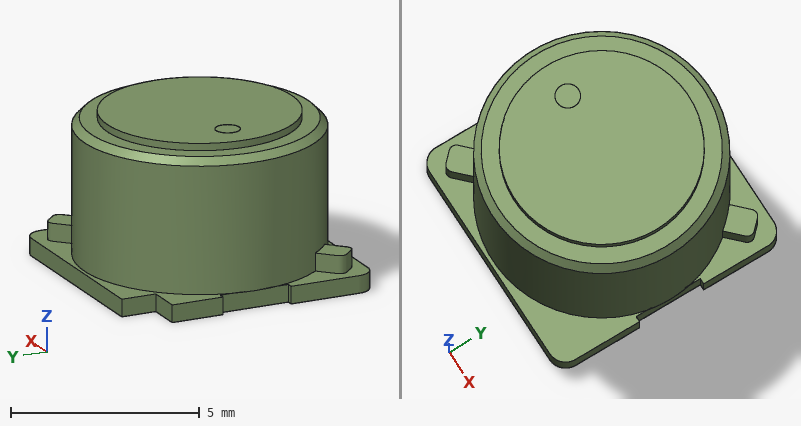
import cadquery as cq

plate_side = 7.0
plate_thickness = 0.5
corner_radius = 0.5
notch_side = 1.0
recess_length = 2.0
recess_depth = 0.17

body_diameter = 6.8
body_top = 4.3
body_chamfer = 0.2
lid_diameter = 5.44
lid_top = 4.5
dot_diameter = 0.68
dot_offset = 1.7
total_height = 4.51

bar_length = 8.385
bar_width = 0.76
bar_corner_radius = 0.195
bar_top = 1.0
bar_angle = 45.0


def disc(diameter, bottom, top, center_x=0.0):
    """Upright cylinder between two heights."""
    return (
        cq.Workplane("XY", origin=(center_x, 0, bottom))
        .circle(diameter / 2)
        .extrude(top - bottom)
    )


def base_plate():
    """Square plate, rounded on three corners, notched on the fourth and recessed on both sides."""
    half_side = plate_side / 2
    plate = (
        cq.Workplane("XY")
        .rect(plate_side, plate_side)
        .extrude(plate_thickness)
        .edges("|Z")
        .fillet(corner_radius)
    )
    notch = (
        cq.Workplane("XY")
        .center(-half_side, half_side)
        .rect(2 * notch_side, 2 * notch_side)
        .extrude(plate_thickness)
    )
    recesses = (
        cq.Workplane("XY")
        .pushPoints([(-half_side, 0), (half_side, 0)])
        .rect(2 * recess_depth, recess_length)
        .extrude(plate_thickness)
    )
    return plate.cut(notch).cut(recesses)


def round_body():
    """Cylinder with a chamfered top rim, carrying the lid and the marker dot."""
    body = disc(body_diameter, plate_thickness, body_top).faces(">Z").edges().chamfer(body_chamfer)
    lid = disc(lid_diameter, body_top, lid_top)
    dot = disc(dot_diameter, lid_top, total_height, -dot_offset)
    return body.union(lid).union(dot)


def terminal_bar():
    """Bar with rounded ends showing at two opposite plate corners."""
    return (
        cq.Workplane("XY", origin=(0, 0, plate_thickness))
        .rect(bar_length, bar_width)
        .extrude(bar_top - plate_thickness)
        .edges("|Z")
        .fillet(bar_corner_radius)
        .rotate((0, 0, 0), (0, 0, 1), bar_angle)
    )


result = base_plate().union(round_body()).union(terminal_bar())